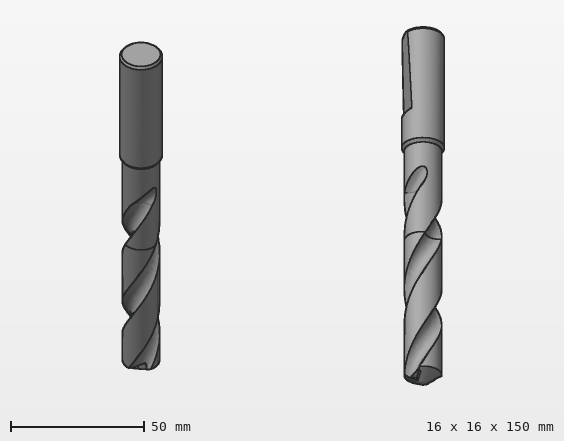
import cadquery as cq
import math

total_length = 150.0
shank_length = 48.0
shank_radius = 16.0 / 2
drill_radius = 7.0
shoulder_height = 1.4
end_chamfer_height = 1.0
end_chamfer_width = 0.8
shank_base = total_length - shank_length

point_angle = 118.0
point_height = drill_radius / math.tan(math.radians(point_angle / 2))
joint_height = 62.1

helix_angle = 30.0
flute_count = 2
flute_radius = 3.9
flute_center_radius = 7.5
flute_pitch = 2 * math.pi * drill_radius / math.tan(math.radians(helix_angle))
flute_phase_height = 17.8
flute_start = -6.0
flute_end = 82.0
runout_height = 18.0
runout_lean = 44.0
runout_tilt = 4.0

gash_start = 1.0
gash_end = 5.5
gash_height = 3.0
gash_wall = 2.2

flat_base = 115.6
flat_depth = 2.1
flat_slope = 2.0
flat_shoulder_slope = 30.0


def flute_angle(height):
    """Direction, in degrees from +X, that the first flute faces at a height."""
    return 360 * (height - flute_phase_height) / flute_pitch


def make_blank():
    """Turned drill with point, shoulder and chamfered shank end."""
    return (
        cq.Workplane("XZ")
        .moveTo(0, 0)
        .lineTo(drill_radius, point_height)
        .lineTo(drill_radius, shank_base - shoulder_height)
        .lineTo(shank_radius, shank_base)
        .lineTo(shank_radius, total_length - end_chamfer_height)
        .lineTo(shank_radius - end_chamfer_width, total_length)
        .lineTo(0, total_length)
        .close()
        .revolve(360, (0, 0, 0), (0, 1, 0))
    )


def length_of_stock(bottom, top):
    """Cylinder enclosing everything between two heights."""
    return cq.Workplane("XY").workplane(offset=bottom).circle(2 * shank_radius).extrude(top - bottom)


def turn_about_axis(shape, angle):
    return shape.rotate(cq.Vector(0, 0, 0), cq.Vector(0, 0, 1), angle)


def make_channel():
    """Helical flute cutter, ending in a level face at the top of the flute."""
    sweep_height = flute_end + flute_radius - flute_start
    rise_per_radian = flute_pitch / (2 * math.pi)
    tangent = (0, flute_center_radius, rise_per_radian)
    start_plane = cq.Plane((flute_center_radius, 0, 0), (1, 0, 0), tangent)
    path = cq.Wire.makeHelix(flute_pitch, sweep_height, flute_center_radius)
    sweep = cq.Workplane(start_plane).circle(flute_radius).sweep(cq.Workplane(path), isFrenet=True)
    placed = sweep.val().translate(cq.Vector(0, 0, flute_start))
    turned = turn_about_axis(placed, flute_angle(flute_start))
    return cq.Workplane(turned).intersect(length_of_stock(2 * flute_start, flute_end))


def make_runout(channel):
    """Straight continuation of the flute section, climbing and leaving the drill outward."""
    section = channel.faces(">Z").val()
    facing = math.radians(flute_angle(flute_end))
    sideways = runout_height * math.tan(math.radians(runout_lean))
    outward = runout_height * math.tan(math.radians(runout_tilt))
    direction = cq.Vector(
        outward * math.cos(facing) - sideways * math.sin(facing),
        outward * math.sin(facing) + sideways * math.cos(facing),
        runout_height,
    )
    return cq.Workplane(cq.Solid.extrudeLinear(section, direction))


def make_gash():
    """Bar-shaped cutter beside the cutting lip, parallel to the cone and open toward -Y."""
    lip_rise = 90 - point_angle / 2
    return (
        cq.Workplane("XY")
        .box(gash_end - gash_start, drill_radius, gash_height, centered=False)
        .translate((gash_start, -gash_wall - drill_radius, 0))
        .rotate((0, 0, 0), (0, 1, 0), -lip_rise)
    )


def cut_flutes_and_gashes(body):
    channel = make_channel()
    cutters = [channel, make_runout(channel), make_gash()]
    for index in range(flute_count):
        for cutter in cutters:
            body = body.cut(cq.Workplane(turn_about_axis(cutter.val(), index * 360 / flute_count)))
    return body


def make_flat_cutter():
    """Wedge above the clamping flat, open at the end of the shank."""
    flat_y = shank_radius - flat_depth
    top_y = flat_y + (total_length - flat_base) * math.tan(math.radians(flat_slope))
    shoulder_drop = flat_depth * math.tan(math.radians(flat_shoulder_slope))
    return (
        cq.Workplane("YZ")
        .moveTo(flat_y, flat_base)
        .lineTo(shank_radius, flat_base - shoulder_drop)
        .lineTo(shank_radius, total_length)
        .lineTo(top_y, total_length)
        .close()
        .extrude(shank_radius, both=True)
    )


drill = cut_flutes_and_gashes(make_blank()).cut(make_flat_cutter())
cutting_head = drill.intersect(length_of_stock(0, joint_height))
holder = drill.intersect(length_of_stock(joint_height, total_length))

result = cq.Compound.makeCompound([cutting_head.val(), holder.val()])